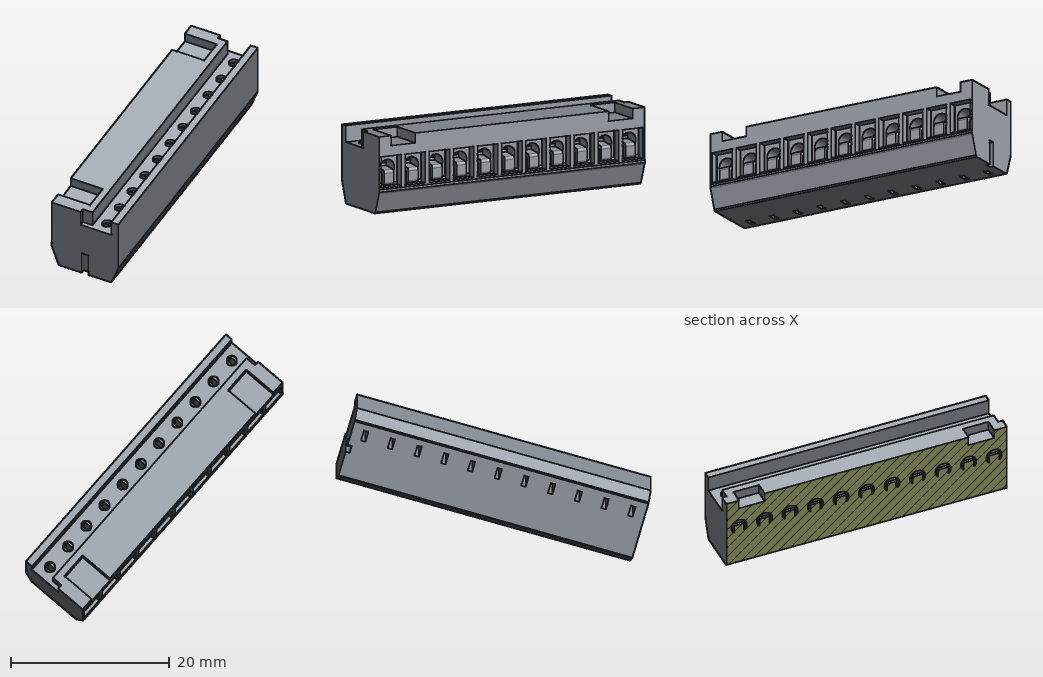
import cadquery as cq

pole_count = 11
length = 38.5
pitch = length / pole_count
height = 10.0
lip_projection = 0.08
overall_depth = 9.5
depth = overall_depth - lip_projection
overcut = 0.4

side_chamfer_height = 2.77
side_chamfer_inset = 0.92
bottom_bevel_height = 0.2
bottom_bevel_inset = 0.15

lip_bottom = 2.93
lip_top = 3.25

channel_start = 5.45
channel_end = 8.45
channel_floor = 7.9
end_notch_start = 4.1
end_notch_length = 0.6

label_depth = 4.55
label_floor = 8.75

window_width = 2.93
window_bottom = 3.45
window_top = 7.43
window_depth = 1.0
back_frame_width = 0.08
back_frame_height = 0.35
back_frame_step = 0.05

tunnel_radius = 1.05
tunnel_axis_height = 5.75
tunnel_end = 3.08

tongue_width = 1.42
tongue_front = 0.55
tongue_bottom = 3.55
tongue_top = 5.5
tongue_radius = 0.35
clamp_wall_foot = 2.5
clamp_wall_foot_height = 5.7
clamp_wall_lean = 0.05
clamp_wall_top = 6.1

screw_radius = 0.65
screw_hole_depth = 0.45
screw_axis = (channel_start + channel_end) / 2
screw_hole_bottom = channel_floor - screw_hole_depth
pin_slot_width = 0.58
pin_slot_start = 6.15
pin_slot_end = 7.5

keyway_width = 0.92
keyway_height = 3.25
keyway_depth = 0.55
keyway_radius = 0.1


def box(x0, x1, y0, y1, z0, z1):
    return cq.Workplane("XY").box(x1 - x0, y1 - y0, z1 - z0, centered=False).translate((x0, y0, z0))


def centred_box(x0, x1, y_middle, width, z0, z1):
    return box(x0, x1, y_middle - width / 2, y_middle + width / 2, z0, z1)


def make_body():
    foot = side_chamfer_inset + bottom_bevel_inset
    outline = [
        (foot, 0),
        (depth - foot, 0),
        (depth - side_chamfer_inset, bottom_bevel_height),
        (depth, side_chamfer_height),
        (depth, height),
        (0, height),
        (0, lip_top),
        (-lip_projection, lip_top),
        (-lip_projection, lip_bottom),
        (0, side_chamfer_height),
        (side_chamfer_inset, bottom_bevel_height),
    ]
    return cq.Workplane("XZ").polyline(outline).close().extrude(length / 2, both=True)


def make_channel():
    top = height + overcut
    end = length / 2
    channel = box(channel_start, channel_end, -end, end, channel_floor, top)
    for y_start in (-end, end - end_notch_length):
        notch = box(end_notch_start, channel_end, y_start, y_start + end_notch_length, channel_floor, top)
        channel = channel.union(notch)
    return channel


def make_label_pocket(y_middle):
    return centred_box(-overcut, label_depth, y_middle, pitch, label_floor, height + overcut)


def make_tongue(y_middle):
    """Solid clamp: rounded tongue, gently rising top and a leaning wall at the tunnel end."""
    r = tongue_radius
    base_end = tunnel_end + overcut
    profile = (
        cq.Workplane("XZ", origin=(0, y_middle, 0))
        .moveTo(base_end, tongue_bottom)
        .lineTo(tongue_front + r, tongue_bottom)
        .radiusArc((tongue_front, tongue_bottom + r), r)
        .lineTo(tongue_front, tongue_top - r)
        .radiusArc((tongue_front + r, tongue_top), r)
        .lineTo(clamp_wall_foot, clamp_wall_foot_height)
        .lineTo(clamp_wall_foot - clamp_wall_lean, clamp_wall_top)
        .lineTo(base_end, clamp_wall_top)
        .close()
    )
    return profile.extrude(tongue_width / 2, both=True)


def make_wire_entry(y_middle):
    window = centred_box(-overcut, window_depth, y_middle, window_width, window_bottom, window_top)
    back_recess = centred_box(
        window_depth,
        window_depth + back_frame_step,
        y_middle,
        window_width - 2 * back_frame_width,
        window_bottom + back_frame_height,
        window_top,
    )
    tunnel = (
        cq.Workplane("YZ")
        .center(y_middle, tunnel_axis_height)
        .circle(tunnel_radius)
        .extrude(tunnel_end)
    )
    return window.union(back_recess).union(tunnel).cut(make_tongue(y_middle))


def make_screw_hole(y_middle):
    hole = (
        cq.Workplane("XY", origin=(screw_axis, y_middle, screw_hole_bottom))
        .circle(screw_radius)
        .extrude(screw_hole_depth)
    )
    slot = centred_box(
        pin_slot_start, pin_slot_end, y_middle, pin_slot_width, -overcut, screw_hole_bottom
    )
    return hole.union(slot)


def make_keyway():
    inner_end = -length / 2 + keyway_depth
    middle = depth / 2
    keyway = box(
        middle - keyway_width / 2,
        middle + keyway_width / 2,
        -length / 2 - overcut,
        inner_end,
        -overcut,
        keyway_height,
    )
    return keyway.edges("|Z and >Y").fillet(keyway_radius)


result = make_body().cut(make_channel()).cut(make_keyway())

first_pole = -(pole_count - 1) / 2 * pitch
label_offset = -first_pole - pitch / 2
for y in (-label_offset, label_offset):
    result = result.cut(make_label_pocket(y))

for pole in range(pole_count):
    pole_y = first_pole + pole * pitch
    result = result.cut(make_wire_entry(pole_y)).cut(make_screw_hole(pole_y))